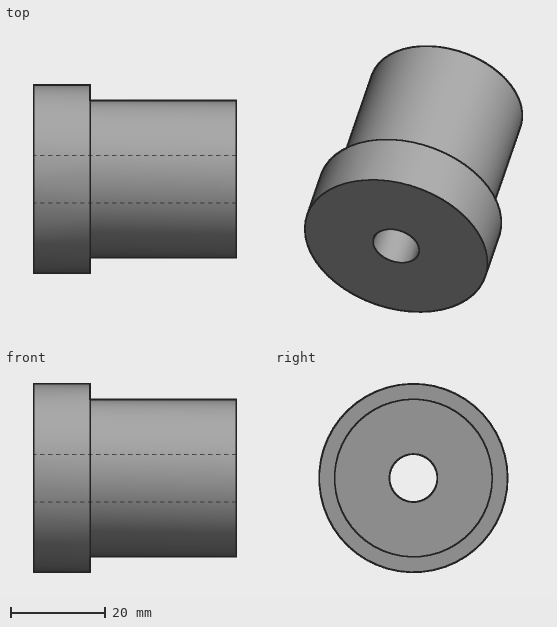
import cadquery as cq

total_length = 43.0
flange_diameter = 40.0
flange_length = 12.0
sleeve_diameter = 33.4
bore_diameter = 10.1

flange = cq.Workplane("YZ").circle(flange_diameter / 2).extrude(flange_length)

sleeve = cq.Workplane("YZ").circle(sleeve_diameter / 2).extrude(total_length)

bore = cq.Workplane("YZ").circle(bore_diameter / 2).extrude(total_length)

result = flange.union(sleeve).cut(bore)